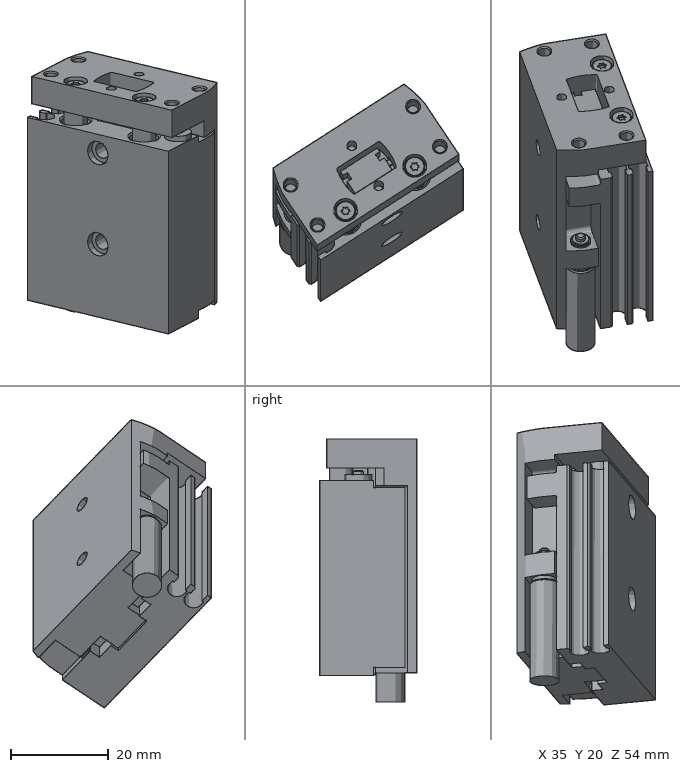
import cadquery as cq
import math


HOUSING_WIDTH = 35.0
TOTAL_DEPTH = 20.0
TOTAL_HEIGHT = 54.0
CLEAR = 0.55
CORNER_MARGIN = 0.05

HALF_HOUSING = HOUSING_WIDTH / 2
HOUSING_BOTTOM = 5.4
HOUSING_TOP = 45.45
HOUSING_BACK = 11.05
LUG_INNER_X = 11.35
LUG_BACK = 17.55
LUG_BACK_HALF = 17.0
LUG_TOP = 44.0
LUG_BOTTOM = 39.05
LUG_FILLET = 0.45
RAIL_CHANNEL_HALF = 4.65
RAIL_CHANNEL_FRONT = 6.7
PAD_INNER_X = 8.65
PAD_OUTER_X = 10.8
PAD_BOTTOM = 5.55
PAD_TOP = 7.15
PAD_BACK = 11.45

WEB_RECESS_HALF = 8.35
WEB_RECESS_FRONT = 8.65

GROOVE_CENTERS_Y = (6.9, 2.55)
GROOVE_MOUTH = 3.0
GROOVE_WIDTH = 3.9
GROOVE_LIP = 1.85
GROOVE_STRAIGHT = 0.85
GROOVE_CHAMFER = 0.4

MOUNT_HOLE_Z = (21.4, 41.35)
MOUNT_HOLE_DIA = 3.25
MOUNT_BORE_DIA = 5.0
MOUNT_BORE_DEPTH = 1.6

TABLE_HALF = 17.4
TABLE_BACK_HALF = 16.05
TAPER_START_Y = 14.35
TAPER_RADIUS = 25.4
TABLE_BOTTOM = 6.0
PLATE_BOTTOM = 48.0
PLATE_FRONT = 1.45
BACK_PLATE_FRONT = 18.1
STEM_HALF = 11.05
STEM_FRONT = 11.5
STEP_HALF = 8.1
STEP_FRONT = 9.95
STEP_BOTTOM = 8.6
LOWER_STEP_FRONT = 8.85
LOWER_STEP_TOP = 45.35
RAIL_HALF = 4.55
RAIL_FRONT = 6.8
RAIL_TOP = 50.75
RAIL_BACK = 12.35
RAIL_GROOVE_BACK = 11.4
RAIL_GROOVE_FRONT = 9.85
RAIL_GROOVE_HALF = 3.45
LEFT_STUB_BOTTOM = 47.0
RIGHT_STUB_BOTTOM = 44.4
RIGHT_STUB_FRONT = 13.25
BLOCK_TOP = 27.0
BLOCK_BOTTOM = 22.1
POCKET_FILLET = 0.9

WINDOW_BACK = 12.75
WINDOW_FRONT = 6.25
WINDOW_END_HALF = 5.25
WINDOW_MID_HALF = 5.65
WINDOW_FLOOR = 46.1
WINDOW_CORNER = 0.4

TAPPED_X = 15.0
PLATE_HOLES_Y = (4.95, 15.0)
TAPPED_DIA = 2.5
TAPPED_MOUTH_DIA = 3.0
DOWEL_DIA = 2.0
PLATE_HOLE_DEPTH = 4.85

ROD_X = 8.5
ROD_Y = 4.45
ROD_DIA = 4.85
ROD_BOTTOM = 32.4
ROD_BORE_DIA = 6.0
ROD_BORE_DEPTH = 2.15
ROD_MOUTH_DIA = 6.7
SCREW_DIA = 2.5
HEAD_DIA = 4.1
HEAD_CHAMFER = 0.15
HEAD_SINK = 0.6
HEAD_HEIGHT = 2.0
HEAD_BORE_DIA = 4.8
STAR_OUTER_RADIUS = 0.9
STAR_INNER_RADIUS = 0.65
STAR_DEPTH = 0.65
STAR_LOBES = 6

ADJUSTER_X = 14.45
ABSORBER_Y = 14.5
ABSORBER_DIA = 6.0
ABSORBER_TOP_DIA = 5.5
ABSORBER_SHOULDER = 20.95
ABSORBER_TOP = 21.3
COLLAR_DIA = 5.0
SHANK_DIA = 4.1
SHANK_TOP = 27.4
NOSE_DIA = 3.45
NOSE_TOP = 27.75
TIP_DIA = 2.0
TIP_CHAMFER = 0.25
ABSORBER_TIP = 28.7
STOP_Y = 8.0
STOP_DIA = 5.5
STOP_BOTTOM = 32.4
STOP_TOP = 46.65
STOP_TIP = 47.5


def box(x0, x1, y0, y1, z0, z1):
    """Box between two opposite corners."""
    return cq.Workplane("XY").box(x1 - x0, y1 - y0, z1 - z0, centered=False).translate((x0, y0, z0))


def cylinder(x, y, diameter, z0, z1):
    """Upright cylinder between two heights."""
    return cq.Workplane("XY", origin=(x, y, z0)).circle(diameter / 2).extrude(z1 - z0)


def countersink(x, y, hole_diameter, mouth_diameter, top):
    """Cone at 45 degrees that widens a hole to its mouth diameter at the top."""
    depth = (mouth_diameter - hole_diameter) / 2
    start = cq.Vector(x, y, top - depth)
    return cq.Workplane(cq.Solid.makeCone(hole_diameter / 2, mouth_diameter / 2, depth, pnt=start))


def mount_holes(diameter, depth):
    """Cylinders along Y that start on the front face."""
    centers = [(0, z) for z in MOUNT_HOLE_Z]
    return cq.Workplane("XZ").pushPoints(centers).circle(diameter / 2).extrude(-depth)


def bulged(x0, y0, x1, y1):
    """Middle point of a taper arc that bulges outward on the +X side."""
    length = math.hypot(x1 - x0, y1 - y0)
    normal_x = abs(y1 - y0) / length
    normal_y = abs(x1 - x0) / length
    bulge = TAPER_RADIUS - math.sqrt(TAPER_RADIUS**2 - (length / 2) ** 2)
    return ((x0 + x1) / 2 + bulge * normal_x, (y0 + y1) / 2 + bulge * normal_y)



def table_outline(front):
    """Table section from a front depth to the back, with curved tapers at the back corners."""
    mid_x, mid_y = bulged(TABLE_HALF, TAPER_START_Y, TABLE_BACK_HALF, TOTAL_DEPTH)
    return (
        cq.Workplane("XY")
        .moveTo(-TABLE_HALF, front)
        .lineTo(TABLE_HALF, front)
        .lineTo(TABLE_HALF, TAPER_START_Y)
        .threePointArc((mid_x, mid_y), (TABLE_BACK_HALF, TOTAL_DEPTH))
        .lineTo(-TABLE_BACK_HALF, TOTAL_DEPTH)
        .threePointArc((-mid_x, mid_y), (-TABLE_HALF, TAPER_START_Y))
        .close()
    )


def side_pocket(side, z0, z1, filleted_edges):
    """Pocket beside the stem; its inner corners along Y are rounded."""
    inner, outer = sorted((side * STEM_HALF, side * HALF_HOUSING))
    pocket = box(inner, outer, STEM_FRONT - CLEAR, BACK_PLATE_FRONT, z0, z1)
    stem_side = "<X" if side > 0 else ">X"
    return pocket.faces(stem_side).edges(filleted_edges).fillet(POCKET_FILLET)


def window():
    """Bowed opening through the end plate, sunk into the stem behind the rail end."""
    middle = (WINDOW_BACK + WINDOW_FRONT) / 2
    return (
        cq.Workplane("XY", origin=(0, 0, WINDOW_FLOOR))
        .moveTo(-WINDOW_END_HALF, WINDOW_FRONT)
        .lineTo(WINDOW_END_HALF, WINDOW_FRONT)
        .threePointArc((WINDOW_MID_HALF, middle), (WINDOW_END_HALF, WINDOW_BACK))
        .lineTo(-WINDOW_END_HALF, WINDOW_BACK)
        .threePointArc((-WINDOW_MID_HALF, middle), (-WINDOW_END_HALF, WINDOW_FRONT))
        .close()
        .extrude(TOTAL_HEIGHT - WINDOW_FLOOR)
        .edges("|Z")
        .fillet(WINDOW_CORNER)
    )


def rail():
    """Guide rail with a roller groove along each side."""
    body = box(-RAIL_HALF, RAIL_HALF, RAIL_FRONT, RAIL_BACK, TABLE_BOTTOM, RAIL_TOP)
    for side in (-1, 1):
        x0, x1 = sorted((side * RAIL_GROOVE_HALF, side * (RAIL_HALF + CLEAR)))
        body = body.cut(box(x0, x1, RAIL_GROOVE_FRONT, RAIL_GROOVE_BACK, WINDOW_FLOOR, TOTAL_HEIGHT))
    return body


def end_plate_holes():
    """Tapped corner holes, dowel holes and the bores of the rod screws."""
    bottom = TOTAL_HEIGHT - PLATE_HOLE_DEPTH
    cutters = cq.Workplane("XY")
    for y in PLATE_HOLES_Y:
        cutters = cutters.union(cylinder(0, y, DOWEL_DIA, bottom, TOTAL_HEIGHT))
        for x in (-TAPPED_X, TAPPED_X):
            cutters = cutters.union(cylinder(x, y, TAPPED_DIA, bottom, TOTAL_HEIGHT))
            cutters = cutters.union(countersink(x, y, TAPPED_DIA, TAPPED_MOUTH_DIA, TOTAL_HEIGHT))
    for x in (-ROD_X, ROD_X):
        head_seat = TOTAL_HEIGHT - HEAD_SINK - HEAD_HEIGHT
        cutters = cutters.union(cylinder(x, ROD_Y, SCREW_DIA, PLATE_BOTTOM, TOTAL_HEIGHT))
        cutters = cutters.union(cylinder(x, ROD_Y, HEAD_BORE_DIA, head_seat, TOTAL_HEIGHT))
    return cutters


def make_table():
    """Slide table: end plate, back plate, stem, guide rail and absorber block."""
    plate_height = TOTAL_HEIGHT - PLATE_BOTTOM
    plate = table_outline(PLATE_FRONT).extrude(plate_height).translate((0, 0, PLATE_BOTTOM))
    slide_height = PLATE_BOTTOM - TABLE_BOTTOM
    slide = table_outline(STEM_FRONT).extrude(slide_height).translate((0, 0, TABLE_BOTTOM))
    slide = slide.cut(side_pocket(-1, BLOCK_TOP, LEFT_STUB_BOTTOM, "|Y"))
    slide = slide.cut(side_pocket(-1, TABLE_BOTTOM, BLOCK_BOTTOM, "|Y and >Z"))
    slide = slide.cut(side_pocket(1, TABLE_BOTTOM, RIGHT_STUB_BOTTOM, "|Y and >Z"))
    slide = slide.cut(
        box(STEM_HALF, HALF_HOUSING, STEM_FRONT, RIGHT_STUB_FRONT, RIGHT_STUB_BOTTOM, PLATE_BOTTOM)
    )
    step = box(-STEP_HALF, STEP_HALF, STEP_FRONT, STEM_FRONT, STEP_BOTTOM, PLATE_BOTTOM)
    lower_step = box(-STEP_HALF, STEP_HALF, LOWER_STEP_FRONT, STEP_FRONT, STEP_BOTTOM, LOWER_STEP_TOP)
    table = plate.union(slide).union(step).union(lower_step).cut(window()).union(rail())
    table = table.cut(end_plate_holes())
    table = table.cut(mount_holes(MOUNT_HOLE_DIA, TOTAL_DEPTH))
    return table.cut(cylinder(-ADJUSTER_X, ABSORBER_Y, SHANK_DIA, BLOCK_BOTTOM, BLOCK_TOP))



def lug(side, bottom):
    """Lug behind the housing whose outer back corner follows the table taper."""
    mid_x, mid_y = bulged(HALF_HOUSING, TAPER_START_Y, LUG_BACK_HALF, LUG_BACK)
    return (
        cq.Workplane("XY", origin=(0, 0, bottom))
        .moveTo(side * LUG_INNER_X, HOUSING_BACK)
        .lineTo(side * HALF_HOUSING, HOUSING_BACK)
        .lineTo(side * HALF_HOUSING, TAPER_START_Y)
        .threePointArc((side * mid_x, mid_y), (side * LUG_BACK_HALF, LUG_BACK))
        .lineTo(side * LUG_INNER_X, LUG_BACK)
        .close()
        .extrude(LUG_TOP - bottom)
    )


def sensor_groove(center_y):
    """Groove with a narrow mouth, chamfered at its back edge, and a wider round-ended bottom."""
    outer = -HALF_HOUSING
    wide_start = outer + GROOVE_LIP
    wide_end = wide_start + GROOVE_STRAIGHT
    mouth = GROOVE_MOUTH / 2
    half = GROOVE_WIDTH / 2
    profile = (
        cq.Workplane("XY", origin=(0, center_y, HOUSING_BOTTOM))
        .moveTo(outer, -mouth)
        .lineTo(wide_start, -mouth)
        .lineTo(wide_start, -half)
        .lineTo(wide_end, -half)
        .threePointArc((wide_end + half, 0), (wide_end, half))
        .lineTo(wide_start, half)
        .lineTo(wide_start, mouth)
        .lineTo(outer + GROOVE_CHAMFER, mouth)
        .lineTo(outer, mouth + GROOVE_CHAMFER)
        .close()
    )
    return profile.extrude(HOUSING_TOP - HOUSING_BOTTOM)


def back_channel(half_width, front):
    """Full-height channel in the back face of the housing."""
    return box(-half_width, half_width, front, HOUSING_BACK, HOUSING_BOTTOM, HOUSING_TOP)


def end_pad():
    """Pad on the back face near the bottom of the housing."""
    return box(PAD_INNER_X, PAD_OUTER_X, HOUSING_BACK, PAD_BACK, PAD_BOTTOM, PAD_TOP)


def make_housing():
    """Cylinder housing with lugs, rail channel, sensor grooves and bores."""
    housing = box(-HALF_HOUSING, HALF_HOUSING, 0, HOUSING_BACK, HOUSING_BOTTOM, HOUSING_TOP)
    housing = housing.union(lug(-1, LUG_BOTTOM)).union(lug(1, PAD_TOP))
    inside_corners = cq.selectors.BoxSelector(
        (-HALF_HOUSING, HOUSING_BACK - CORNER_MARGIN, LUG_BOTTOM - CORNER_MARGIN),
        (-LUG_INNER_X, HOUSING_BACK + CORNER_MARGIN, LUG_TOP + CORNER_MARGIN),
    )
    housing = housing.edges("|X").edges(inside_corners).fillet(LUG_FILLET)
    housing = housing.union(end_pad())
    housing = housing.cut(back_channel(RAIL_CHANNEL_HALF, RAIL_CHANNEL_FRONT))
    housing = housing.cut(back_channel(WEB_RECESS_HALF, WEB_RECESS_FRONT))
    for center_y in GROOVE_CENTERS_Y:
        housing = housing.cut(sensor_groove(center_y))
    for x in (-ROD_X, ROD_X):
        housing = housing.cut(cylinder(x, ROD_Y, ROD_DIA, ROD_BOTTOM, HOUSING_TOP))
        bore_bottom = HOUSING_TOP - ROD_BORE_DEPTH
        housing = housing.cut(cylinder(x, ROD_Y, ROD_BORE_DIA, bore_bottom, HOUSING_TOP))
        housing = housing.cut(countersink(x, ROD_Y, ROD_BORE_DIA, ROD_MOUTH_DIA, HOUSING_TOP))
    housing = housing.cut(cylinder(ADJUSTER_X, STOP_Y, STOP_DIA, STOP_BOTTOM, HOUSING_TOP))
    housing = housing.cut(mount_holes(MOUNT_HOLE_DIA, HOUSING_BACK))
    return housing.cut(mount_holes(MOUNT_BORE_DIA, MOUNT_BORE_DEPTH))



def star_points():
    """Corners of the six-lobed driver recess."""
    points = []
    for i in range(2 * STAR_LOBES):
        radius = STAR_OUTER_RADIUS if i % 2 == 0 else STAR_INNER_RADIUS
        angle = math.pi / 2 + i * math.pi / STAR_LOBES
        points.append((radius * math.cos(angle), radius * math.sin(angle)))
    return points


def make_piston_rod(x):
    """Piston rod with its screw neck and star-recessed head in the end plate."""
    head_top = TOTAL_HEIGHT - HEAD_SINK
    head_bottom = head_top - HEAD_HEIGHT
    head = cylinder(x, ROD_Y, HEAD_DIA, head_bottom, head_top).faces(">Z").chamfer(HEAD_CHAMFER)
    recess = cq.Workplane("XY", origin=(x, ROD_Y, head_top - STAR_DEPTH)).polyline(star_points()).close()
    rod = cylinder(x, ROD_Y, ROD_DIA, ROD_BOTTOM, PLATE_BOTTOM)
    neck = cylinder(x, ROD_Y, SCREW_DIA, PLATE_BOTTOM, head_bottom)
    return rod.union(neck).union(head.cut(recess.extrude(STAR_DEPTH)))


def adjuster_tip(x, y, bottom, top):
    """Round contact tip with a chamfered end."""
    return cylinder(x, y, TIP_DIA, bottom, top).faces(">Z").chamfer(TIP_CHAMFER)


def make_shock_absorber():
    """Absorber hanging below the table block, its shank passing through the block."""
    profile = [
        (0, 0),
        (ABSORBER_DIA / 2, 0),
        (ABSORBER_DIA / 2, ABSORBER_SHOULDER),
        (ABSORBER_TOP_DIA / 2, ABSORBER_TOP),
        (COLLAR_DIA / 2, ABSORBER_TOP),
        (COLLAR_DIA / 2, BLOCK_BOTTOM),
        (SHANK_DIA / 2, BLOCK_BOTTOM),
        (SHANK_DIA / 2, SHANK_TOP),
        (NOSE_DIA / 2, SHANK_TOP),
        (NOSE_DIA / 2, NOSE_TOP),
        (0, NOSE_TOP),
    ]
    body = cq.Workplane("XZ").polyline(profile).close().revolve(360, (0, 0), (0, 1))
    body = body.translate((-ADJUSTER_X, ABSORBER_Y, 0))
    return body.union(adjuster_tip(-ADJUSTER_X, ABSORBER_Y, NOSE_TOP, ABSORBER_TIP))


def make_stop_bolt():
    """Stop bolt standing out of the housing top under the end plate."""
    body = cylinder(ADJUSTER_X, STOP_Y, STOP_DIA, STOP_BOTTOM, STOP_TOP)
    return body.union(adjuster_tip(ADJUSTER_X, STOP_Y, STOP_TOP, STOP_TIP))


housing = make_housing()
table = make_table()
piston_rods = [make_piston_rod(x) for x in (-ROD_X, ROD_X)]
shock_absorber = make_shock_absorber()
stop_bolt = make_stop_bolt()

result = cq.Compound.makeCompound([
    housing.val(),
    table.val(),
    *[rod.val() for rod in piston_rods],
    shock_absorber.val(),
    stop_bolt.val(),
])